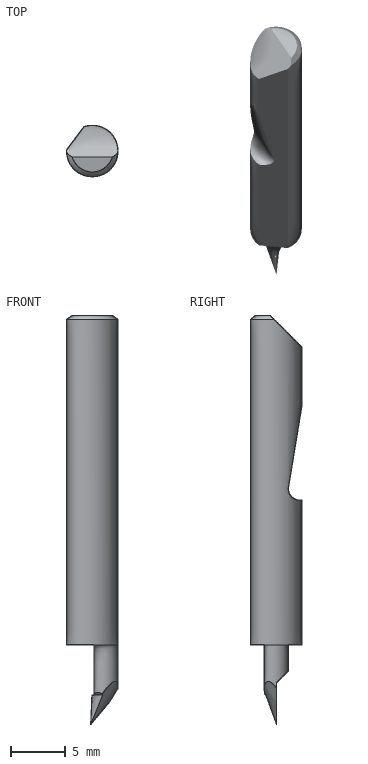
import cadquery as cq
import math

total_length = 37.88
shank_diameter = 4.77
shank_radius = shank_diameter / 2
shank_bottom = 7.4
chamfer_height = 0.38
chamfer_width = 0.45

flat_angle = 143.0
flat_distance = 1.97
bevel_low_z = 34.93

notch_bottom = 20.8
notch_top = 29.55
notch_depth = 1.45
notch_root_radius = 1.02

neck_diameter = 2.25
neck_radius = neck_diameter / 2
neck_center_x = shank_radius - neck_radius
rake_ramp_bottom = 3.9

tip_x = -0.15
rake_y = 0.05
head_top = 2.73
head_front = 0.95
edge_lean = 0.1
relief_angle = 225.0
relief_roof_slope = 1.2
lower_edge_slope = 1.2
upper_edge_slope = 1.6
edge_kink_x = 1.6
clearance_slope = 1.4

cut_size = 4 * shank_diameter


def profile_across_x(points):
    """Prism along X from an outline of (Y, Z) points."""
    return cq.Workplane("YZ").polyline(points).close().extrude(shank_diameter, both=True)


def region_below(x, z, slope_x):
    """Block under the clearance plane passing through (x, rake_y, z)."""
    plane = cq.Plane(origin=(x, rake_y, z), normal=(slope_x, -clearance_slope, -1))
    return cq.Workplane(plane).rect(cut_size, cut_size).extrude(cut_size)


def make_shank():
    shank = (
        cq.Workplane("XY").workplane(offset=shank_bottom)
        .circle(shank_radius).extrude(total_length - shank_bottom)
        .faces(">Z").chamfer(chamfer_height, chamfer_width)
    )
    side_flat = (
        cq.Workplane("XY").center(flat_distance + shank_radius, 0)
        .rect(2 * shank_radius, cut_size).extrude(total_length)
        .rotate((0, 0, 0), (0, 0, 1), flat_angle)
    )
    bevel_run = total_length - bevel_low_z
    bevel = profile_across_x([
        (shank_radius, bevel_low_z),
        (shank_radius - bevel_run, total_length),
        (shank_radius, total_length),
    ])
    notch_floor_y = shank_radius - notch_depth
    notch = (
        profile_across_x([
            (shank_radius, notch_top),
            (notch_floor_y, notch_bottom),
            (shank_radius + notch_root_radius, notch_bottom),
            (shank_radius + notch_root_radius, notch_top),
        ])
        .edges("|X").edges("<Y").fillet(notch_root_radius)
    )
    return shank.cut(side_flat).cut(bevel).cut(notch)


def make_relief():
    """Space beside the leaning cutting edge, under a roof sloping up and outwards."""
    angle = math.radians(relief_angle)
    outward = (math.cos(angle), math.sin(angle), 0)
    sideways = (math.sin(angle), -math.cos(angle), 0)
    origin = (tip_x, rake_y, 0)
    lean_inward = edge_lean * math.cos(angle)
    return (
        cq.Workplane(cq.Plane(origin=origin, xDir=outward, normal=sideways))
        .polyline([
            (0, 0),
            (lean_inward, head_top),
            (neck_radius, head_top + relief_roof_slope * (neck_radius - lean_inward)),
            (neck_radius, 0),
        ])
        .close().extrude(shank_diameter, both=True)
    )


def make_cutter():
    neck = (
        cq.Workplane("XY").center(neck_center_x, 0)
        .circle(neck_radius).extrude(shank_bottom)
    )
    head = cq.Workplane("XY").box(
        neck_center_x - tip_x, head_front + rake_y, head_top, centered=False
    ).translate((tip_x, -head_front, 0))
    rake = profile_across_x([
        (rake_y, 0),
        (rake_y, rake_ramp_bottom),
        (rake_y + neck_diameter, rake_ramp_bottom + neck_diameter),
        (rake_y + neck_diameter, 0),
    ])
    edge_kink_z = lower_edge_slope * (edge_kink_x - tip_x)
    return (
        neck.union(head).cut(rake).cut(make_relief())
        .cut(region_below(tip_x, 0, lower_edge_slope))
        .cut(region_below(edge_kink_x, edge_kink_z, upper_edge_slope))
    )


result = make_shank().union(make_cutter())